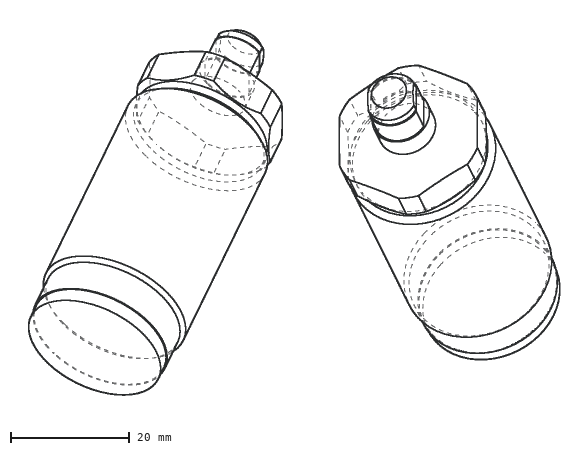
import cadquery as cq

total_length = 69.25

front_diameter = 23.95
front_end = 2.5
collar_diameter = 24.4
collar_end = 8.45
body_diameter = 25.8
body_front_chamfer_end = 9.2
body_end = 47.15
neck_diameter = 23.7
neck_start = 48.2

nut_start = 49.7
nut_front_bevel_end = 50.7
nut_rear_bevel_start = 56.0
nut_end = 57.05
nut_corner_diameter = 26.0
nut_across_flats = 24.0
nut_rear_face_diameter = 18.55

boss_diameter = 10.0
boss_end = 61.2
pin_diameter = 9.5
pin_across_flats = 7.95
tip_diameter = 9.1
tip_across_flats = 7.9
tip_start = 66.3
tip_chamfer_start = 67.7
tip_face_diameter = 6.1


def turned(stations):
    """Revolve (diameter, y) stations about the Y axis, closing the profile on the axis."""
    outline = [(diameter / 2, y) for diameter, y in stations]
    start_y = stations[0][1]
    end_y = stations[-1][1]
    profile = cq.Workplane("XY").polyline([(0, start_y)] + outline + [(0, end_y)]).close()
    return profile.revolve(360, (0, 0, 0), (0, 1, 0))


def cut_flats(solid, across_flats, angle=0):
    """Leave two opposite flats, facing -X and +X and then turned by angle about the Y axis."""
    slab = cq.Workplane("XY").box(across_flats, total_length, nut_corner_diameter)
    slab = slab.translate((0, total_length / 2, 0))
    return solid.intersect(slab.rotate((0, 0, 0), (0, 1, 0), angle))


def make_body():
    return turned([
        (front_diameter, 0),
        (front_diameter, front_end),
        (collar_diameter, front_end),
        (collar_diameter, collar_end),
        (body_diameter, body_front_chamfer_end),
        (body_diameter, body_end),
        (neck_diameter, neck_start),
        (neck_diameter, nut_start),
    ])


def make_nut():
    blank = turned([
        (neck_diameter, nut_start),
        (nut_corner_diameter, nut_front_bevel_end),
        (nut_corner_diameter, nut_rear_bevel_start),
        (nut_rear_face_diameter, nut_end),
    ])
    for angle in (0, 60, 120):
        blank = cut_flats(blank, nut_across_flats, angle)
    return blank


def make_stem():
    boss = turned([(boss_diameter, nut_end), (boss_diameter, boss_end)])
    pin = turned([(pin_diameter, boss_end), (pin_diameter, tip_start)])
    tip = turned([
        (tip_diameter, tip_start),
        (tip_diameter, tip_chamfer_start),
        (tip_face_diameter, total_length),
    ])
    pin = cut_flats(pin, pin_across_flats)
    tip = cut_flats(tip, tip_across_flats)
    return boss.union(pin).union(tip)


result = make_body().union(make_nut()).union(make_stem())